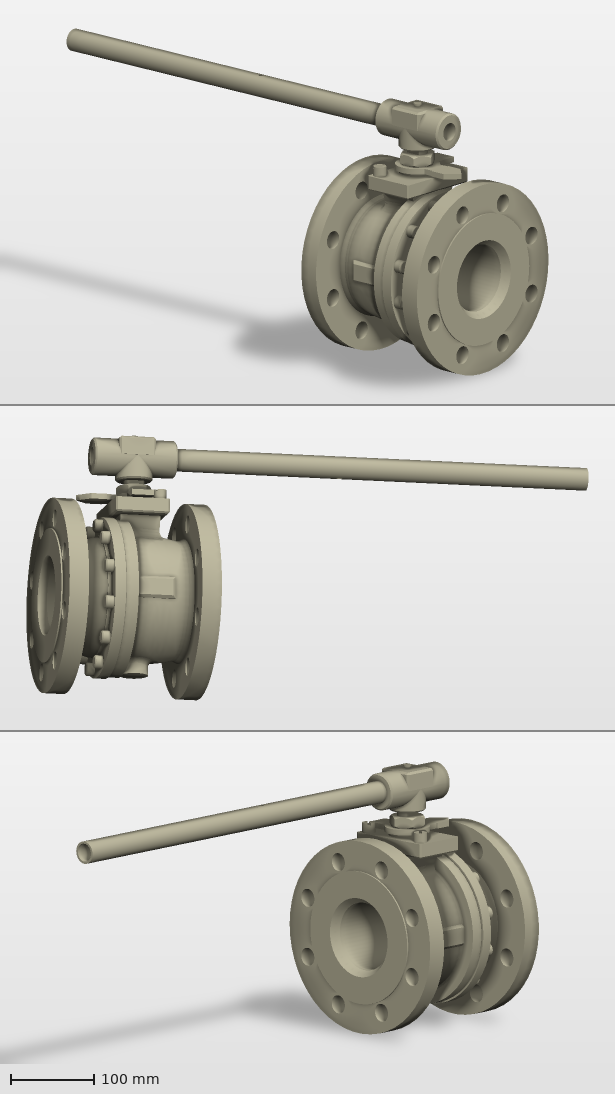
import cadquery as cq


flange_dia = 235.0
inlet_face_x = -83.5
outlet_face_x = 107.5
raised_face_dia = 162.0
raised_face_height = 2.0
flange_thickness = 24.0
flange_hole_count = 8
flange_hole_dia = 22.0
flange_hole_circle_dia = 188.5

bore_dia = 82.0
mouth_dia = 96.0
mouth_depth = 10.0

neck_radius = 72.0
body_radius = 77.5
bulge_share = 0.75
inlet_neck_start_x = -52.0
inlet_neck_end_x = -48.0
flange_root_rise = 2.5
joint_start_x = 15.0
joint_face_x = 31.0
joint_end_x = 44.5
body_joint_dia = 190.0
cap_joint_dia = 194.0
joint_fillet = 2.5
joint_chamfer = 1.0
cap_hub_dia = 149.0
cap_hub_end_x = 48.5
shoulder_share = 0.25
throat_radius = 67.0
throat_start_x = 68.0
throat_end_x = 74.0
throat_flare_x = 78.0
throat_flare_rise = 2.0

cap_bolt_count = 12
cap_bolt_circle_dia = 172.5
cap_bolt_head_dia = 16.0
cap_bolt_head_height = 10.0
cap_bolt_chamfer = 1.0

side_pad_start_x = -34.0
side_pad_height = 26.5
side_pad_reach = 80.0
side_pad_chamfer = 3.0
boss_dia = 34.0
boss_bottom_z = -93.5
boss_fillet = 6.5

plate_bottom_z = 96.0
plate_top_z = 114.0
plate_length = 66.5
plate_width = 108.0
plate_center_x = 0.5
plate_chamfer = 2.0
neck_length = 49.0
neck_foot_z = 66.5
neck_foot_width = 53.0
neck_head_width = 73.0
neck_fillet = 10.0
stop_bolt_x = -22.0
stop_bolt_y = 43.0
stop_bolt_dia = 16.0
stop_bolt_height = 12.0
stop_slot_width = 3.0
stop_slot_depth = 2.5
stop_slot_angle = 45

gland_dia = 45.0
pointer_bottom_z = 118.0
pointer_top_z = 125.0
pointer_disc_dia = 54.5
pointer_tip_x = 71.0
pointer_half_width = 15.0
arrow_head_x = 36.5
stop_arm_width = 27.0
stop_arm_reach = 50.5
nut_top_z = 138.0
nut_sides = 6
nut_corner_dia = 44.0
nut_chamfer = 2.5
stem_dia = 25.0
stem_flat_width = 16.0

lever_axis_z = 173.0
lever_hub_dia = 45.0
hub_start_x = -50.0
hub_end_x = 52.0
hub_chamfer = 2.0
socket_bottom_z = 144.5
hub_block_length = 45.0
hub_block_width = 46.5
hub_block_chamfer = 2.5
hub_crown = 0.1
pipe_start_x = -556.0
pipe_dia = 27.0
pipe_bore_dia = 22.0
pipe_hole_x = -253.0
pipe_hole_dia = 7.0
pin_dia = 7.0
pin_head_dia = 10.0
pin_head_height = 2.0
pin_top_z = 200.0


def x_cylinder(dia, start_x, end_x, z=0):
    """Cylinder along X between two stations."""
    disc = cq.Workplane("YZ", origin=(start_x, 0, z)).circle(dia / 2)
    return disc.extrude(end_x - start_x)


def z_cylinder(dia, bottom_z, top_z, x=0, y=0):
    """Cylinder along Z between two levels."""
    disc = cq.Workplane("XY", origin=(x, y, bottom_z)).circle(dia / 2)
    return disc.extrude(top_z - bottom_z)


def z_box(length, width, bottom_z, top_z, x=0, y=0):
    """Box centred on (x, y) between two levels."""
    base = cq.Workplane("XY", origin=(x, y, bottom_z)).rect(length, width)
    return base.extrude(top_z - bottom_z)


def end_flange(face_x, inward):
    """Drilled flange with a raised face; inward is +1 or -1 along X."""
    rim_x = face_x + inward * raised_face_height
    back_x = rim_x + inward * flange_thickness
    flange = x_cylinder(flange_dia, rim_x, back_x)
    holes = (
        cq.Workplane("YZ", origin=(rim_x, 0, 0))
        .polarArray(flange_hole_circle_dia / 2, 180 / flange_hole_count, 360, flange_hole_count)
        .circle(flange_hole_dia / 2)
        .extrude(back_x - rim_x)
    )
    return flange.cut(holes).union(x_cylinder(raised_face_dia, face_x, back_x))


def body():
    """Inlet neck and bulging ball chamber, blended into the stem neck and the boss underneath."""
    back_x = inlet_face_x + raised_face_height + flange_thickness
    bulge_x = inlet_neck_end_x / 2
    bulge_radius = neck_radius + bulge_share * (body_radius - neck_radius)
    chamber = (
        cq.Workplane("XY")
        .moveTo(back_x, 0)
        .lineTo(back_x, neck_radius + flange_root_rise)
        .lineTo(inlet_neck_start_x, neck_radius)
        .lineTo(inlet_neck_end_x, neck_radius)
        .threePointArc((bulge_x, bulge_radius), (0, body_radius))
        .lineTo(joint_end_x, body_radius)
        .lineTo(joint_end_x, 0)
        .close()
        .revolve(360, (0, 0, 0), (1, 0, 0))
    )
    stem_neck = (
        cq.Workplane("XY", origin=(0, 0, neck_foot_z))
        .rect(neck_length, neck_foot_width)
        .workplane(offset=plate_bottom_z - neck_foot_z)
        .rect(neck_length, neck_head_width)
        .loft()
    )
    boss = z_cylinder(boss_dia, boss_bottom_z, 0)
    neck_root = cq.selectors.BoxSelector(
        (-neck_length, -neck_head_width, neck_foot_z),
        (neck_length, neck_head_width, body_radius + flange_root_rise),
        boundingbox=True,
    )
    boss_root = cq.selectors.BoxSelector(
        (-boss_dia, -boss_dia, -body_radius - flange_root_rise),
        (boss_dia, boss_dia, -neck_foot_z),
        boundingbox=True,
    )
    blended = chamber.union(stem_neck).edges(neck_root).fillet(neck_fillet)
    return blended.union(boss).edges(boss_root).fillet(boss_fillet)


def body_joint():
    """Joint flange of the body with a fillet at its root."""
    profile = (
        cq.Workplane("XY")
        .moveTo(joint_start_x - joint_fillet, 0)
        .lineTo(joint_start_x - joint_fillet, body_radius)
        .radiusArc((joint_start_x, body_radius + joint_fillet), -joint_fillet)
        .lineTo(joint_start_x, body_joint_dia / 2)
        .lineTo(joint_face_x - joint_chamfer, body_joint_dia / 2)
        .lineTo(joint_face_x, body_joint_dia / 2 - joint_chamfer)
        .lineTo(joint_face_x, 0)
        .close()
    )
    return profile.revolve(360, (0, 0, 0), (1, 0, 0))


def end_cap():
    """Turned cap: joint flange, hub and a waisted neck to the outlet flange."""
    back_x = outlet_face_x - raised_face_height - flange_thickness
    shoulder_run = (throat_start_x - cap_hub_end_x) * (1 - shoulder_share)
    shoulder_drop = (neck_radius - throat_radius) * (1 - shoulder_share)
    shoulder_point = (cap_hub_end_x + shoulder_run, neck_radius - shoulder_drop)
    shoulder_arc_radius = (shoulder_run**2 + shoulder_drop**2) / (2 * shoulder_drop)
    profile = (
        cq.Workplane("XY")
        .moveTo(joint_face_x, 0)
        .lineTo(joint_face_x, cap_joint_dia / 2)
        .lineTo(joint_end_x, cap_joint_dia / 2)
        .lineTo(joint_end_x, cap_hub_dia / 2)
        .lineTo(cap_hub_end_x, cap_hub_dia / 2)
        .lineTo(cap_hub_end_x, neck_radius)
        .radiusArc(shoulder_point, shoulder_arc_radius)
        .tangentArcPoint((throat_start_x, throat_radius), relative=False)
        .lineTo(throat_end_x, throat_radius)
        .tangentArcPoint((throat_flare_x, throat_radius + throat_flare_rise), relative=False)
        .lineTo(back_x, neck_radius)
        .lineTo(back_x, 0)
        .close()
    )
    return profile.revolve(360, (0, 0, 0), (1, 0, 0))


def cap_bolts():
    """Ring of bolt heads on the cap joint flange."""
    return (
        cq.Workplane("YZ", origin=(joint_end_x, 0, 0))
        .polarArray(cap_bolt_circle_dia / 2, 180 / cap_bolt_count, 360, cap_bolt_count)
        .circle(cap_bolt_head_dia / 2)
        .extrude(cap_bolt_head_height)
        .faces(">X")
        .chamfer(cap_bolt_chamfer)
    )


def side_pads():
    """Bar through the body that leaves a chamfered pad on each side."""
    length = joint_face_x - side_pad_start_x
    center_x = (joint_face_x + side_pad_start_x) / 2
    bar = z_box(length, 2 * side_pad_reach, -side_pad_height / 2, side_pad_height / 2, center_x)
    return bar.faces("<Y or >Y").chamfer(side_pad_chamfer)


def mounting_plate():
    """Stem plate with two slotted stop bolts."""
    plate = z_box(plate_length, plate_width, plate_bottom_z, plate_top_z, plate_center_x)
    plate = plate.edges("|Z or <Z").chamfer(plate_chamfer)
    bolt_top_z = plate_top_z + stop_bolt_height
    for y in (-stop_bolt_y, stop_bolt_y):
        bolt = z_cylinder(stop_bolt_dia, plate_top_z, bolt_top_z, stop_bolt_x, y)
        slot = z_box(2 * stop_bolt_dia, stop_slot_width, bolt_top_z - stop_slot_depth, bolt_top_z)
        slot = slot.rotate((0, 0, 0), (0, 0, 1), stop_slot_angle).translate((stop_bolt_x, y, 0))
        plate = plate.union(bolt.cut(slot))
    return plate


def pointer():
    """Position disc with an arrow towards +X and a stop arm towards +Y."""
    arrow = (
        cq.Workplane("XY", origin=(0, 0, pointer_bottom_z))
        .moveTo(0, -stop_arm_width / 2)
        .lineTo(arrow_head_x, -stop_arm_width / 2)
        .lineTo(arrow_head_x, -pointer_half_width)
        .lineTo(pointer_tip_x - pointer_half_width, -pointer_half_width)
        .lineTo(pointer_tip_x, 0)
        .lineTo(pointer_tip_x - pointer_half_width, pointer_half_width)
        .lineTo(arrow_head_x, pointer_half_width)
        .lineTo(arrow_head_x, stop_arm_width / 2)
        .lineTo(0, stop_arm_width / 2)
        .close()
        .extrude(pointer_top_z - pointer_bottom_z)
    )
    stop_arm = z_box(stop_arm_width, stop_arm_reach, pointer_bottom_z, pointer_top_z, 0, stop_arm_reach / 2)
    disc = z_cylinder(pointer_disc_dia, pointer_bottom_z, pointer_top_z)
    return disc.union(arrow).union(stop_arm)


def stem():
    """Gland, pointer, hex nut and the flatted stem rising into the lever."""
    gland = z_cylinder(gland_dia, plate_top_z, pointer_bottom_z)
    nut = cq.Workplane("XY", origin=(0, 0, pointer_top_z)).polygon(nut_sides, nut_corner_dia)
    nut = nut.extrude(nut_top_z - pointer_top_z)
    nut_blank = z_cylinder(nut_corner_dia, pointer_top_z, nut_top_z)
    nut = nut.intersect(nut_blank.faces("<Z or >Z").chamfer(nut_chamfer))
    flats = z_box(stem_dia, stem_flat_width, nut_top_z, socket_bottom_z)
    shaft = z_cylinder(stem_dia, nut_top_z, socket_bottom_z).intersect(flats)
    return gland.union(pointer()).union(nut).union(shaft)


def lever():
    """Hub with a clamping block, the pipe handle and a locking pin."""
    hub = x_cylinder(lever_hub_dia, hub_start_x, hub_end_x, z=lever_axis_z)
    hub = hub.faces("<X or >X").chamfer(hub_chamfer)
    block_top_z = lever_axis_z + lever_hub_dia / 2 - hub_crown
    block = z_box(hub_block_length, hub_block_width, lever_axis_z, block_top_z)
    block = block.edges("|Z or >Z").chamfer(hub_block_chamfer)
    socket = z_cylinder(lever_hub_dia, socket_bottom_z, lever_axis_z)
    socket = socket.faces("<Z").chamfer(hub_chamfer)
    pipe = x_cylinder(pipe_dia, pipe_start_x, hub_end_x, z=lever_axis_z)
    pipe_bore = x_cylinder(pipe_bore_dia, pipe_start_x, hub_end_x, z=lever_axis_z)
    cross_hole = z_cylinder(
        pipe_hole_dia, lever_axis_z - pipe_dia, lever_axis_z + pipe_dia, pipe_hole_x
    )
    pin = z_cylinder(pin_dia, lever_axis_z - lever_hub_dia / 2, pin_top_z)
    pin_head = z_cylinder(pin_head_dia, pin_top_z - pin_head_height, pin_top_z)
    handle = hub.union(block).union(socket).union(pipe).cut(pipe_bore).cut(cross_hole)
    return handle.union(pin).union(pin_head)


def flow_bore():
    """Straight bore with a conical mouth at each end."""
    profile = (
        cq.Workplane("XY")
        .moveTo(inlet_face_x, 0)
        .lineTo(inlet_face_x, mouth_dia / 2)
        .lineTo(inlet_face_x + mouth_depth, bore_dia / 2)
        .lineTo(outlet_face_x - mouth_depth, bore_dia / 2)
        .lineTo(outlet_face_x, mouth_dia / 2)
        .lineTo(outlet_face_x, 0)
        .close()
    )
    return profile.revolve(360, (0, 0, 0), (1, 0, 0))


result = (
    end_flange(inlet_face_x, 1)
    .union(end_flange(outlet_face_x, -1))
    .union(body())
    .union(body_joint())
    .union(end_cap())
    .union(cap_bolts())
    .union(side_pads())
    .union(mounting_plate())
    .cut(flow_bore())
    .union(stem())
    .union(lever())
)